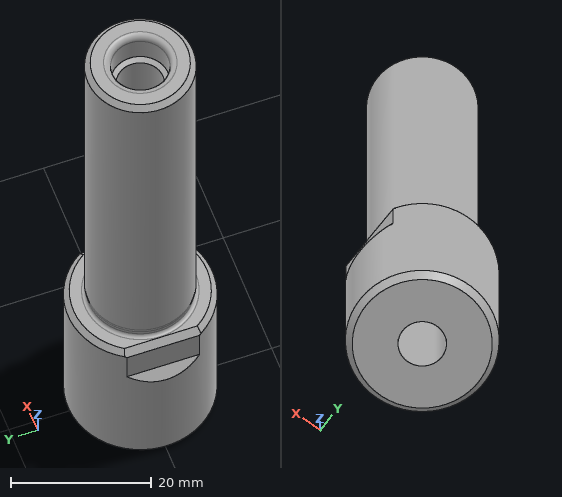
import cadquery as cq
import math

total_length = 86.0
head_length = 26.0

head_radius = 22.0 / 2
head_bottom_chamfer = 1.0
head_top_chamfer = 0.85

flat_spacing = 19.0
flat_length = 6.0
flat_top_chamfer = 1.0

shank_radius = 16.0 / 2
shank_end_chamfer = 0.85

neck_radius = 15.6 / 2
neck_fillet = 0.6
neck_top = head_length + 1.15
neck_taper_angle = 15.0

through_radius = 6.92 / 2
counterbore_radius = 8.5 / 2
counterbore_depth = 5.0
counterbore_floor_angle = 30.0
bore_mouth_fillet = 1.0


def make_body():
    """Head, neck and shank, revolved about Z."""
    taper_height = (shank_radius - neck_radius) / math.tan(math.radians(neck_taper_angle))
    fillet_inset = neck_fillet * (1 - math.sqrt(0.5))
    return (
        cq.Workplane("XZ")
        .moveTo(0, 0)
        .lineTo(head_radius - head_bottom_chamfer, 0)
        .lineTo(head_radius, head_bottom_chamfer)
        .lineTo(head_radius, head_length - head_top_chamfer)
        .lineTo(head_radius - head_top_chamfer, head_length)
        .lineTo(neck_radius + neck_fillet, head_length)
        .threePointArc(
            (neck_radius + fillet_inset, head_length + fillet_inset),
            (neck_radius, head_length + neck_fillet),
        )
        .lineTo(neck_radius, neck_top)
        .lineTo(shank_radius, neck_top + taper_height)
        .lineTo(shank_radius, total_length - shank_end_chamfer)
        .lineTo(shank_radius - shank_end_chamfer, total_length)
        .lineTo(0, total_length)
        .close()
        .revolve(360, (0, 0, 0), (0, 1, 0))
    )


def make_flat_cutter(side):
    """Material removed for one flat: bevelled top edge, flat face and 45 degree run-out.

    side is +1 for the +X flat and -1 for the -X flat.
    """
    flat_x = flat_spacing / 2
    flat_bottom = head_length - flat_length
    runout = head_radius - flat_x
    profile = [
        (flat_x - flat_top_chamfer, head_length),
        (flat_x, head_length - flat_top_chamfer),
        (flat_x, flat_bottom),
        (head_radius, flat_bottom - runout),
        (head_radius, head_length),
    ]
    return (
        cq.Workplane("XZ")
        .polyline([(side * x, z) for x, z in profile])
        .close()
        .extrude(head_radius, both=True)
    )


def make_bore():
    """Through bore, counterbored from the shank end with a conical floor and rounded mouth."""
    fillet_inset = bore_mouth_fillet * (1 - math.sqrt(0.5))
    floor_slope = math.tan(math.radians(counterbore_floor_angle))
    floor_rim = total_length - counterbore_depth
    floor_bottom = floor_rim - (counterbore_radius - through_radius) * floor_slope
    return (
        cq.Workplane("XZ")
        .moveTo(0, 0)
        .lineTo(through_radius, 0)
        .lineTo(through_radius, floor_bottom)
        .lineTo(counterbore_radius, floor_rim)
        .lineTo(counterbore_radius, total_length - bore_mouth_fillet)
        .threePointArc(
            (counterbore_radius + fillet_inset, total_length - fillet_inset),
            (counterbore_radius + bore_mouth_fillet, total_length),
        )
        .lineTo(0, total_length)
        .close()
        .revolve(360, (0, 0, 0), (0, 1, 0))
    )


result = make_body()
for side in (-1, 1):
    result = result.cut(make_flat_cutter(side))
result = result.cut(make_bore())